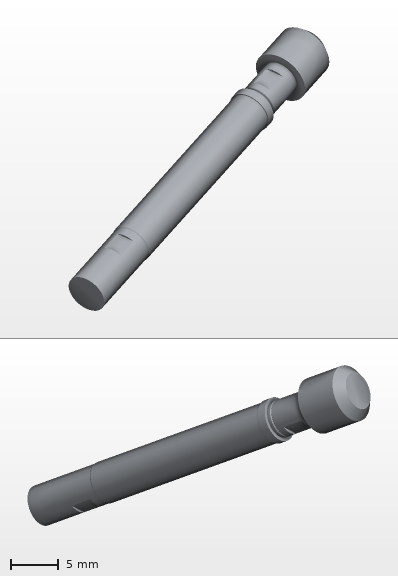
import cadquery as cq

length = 43.2

head_diameter = 6.1
neck_diameter = 4.0
notch_diameter = 3.8
collar_diameter = 4.8
barrel_diameter = 4.55
tail_diameter = 4.4

head_end = 5.65
neck_end = 10.1
collar_start = 10.7
collar_end = 11.65
barrel_end = 34.7

tip_chamfer_length = 0.95
tip_face_diameter = neck_diameter
notch_width = 0.2
barrel_taper_length = 0.15

flat_length = 2.45
neck_flat_start = 6.83
neck_flat_across = 3.45
tail_flat_start = 35.7
tail_flat_across = 3.95

tip_y = length / 2


def turned_body():
    """Revolve the stepped half profile about the Y axis."""
    stations = [
        (0, 0),
        (tip_face_diameter, 0),
        (head_diameter, tip_chamfer_length),
        (head_diameter, head_end),
        (neck_diameter, head_end),
        (neck_diameter, neck_end),
        (notch_diameter, neck_end + notch_width / 2),
        (neck_diameter, neck_end + notch_width),
        (neck_diameter, collar_start),
        (collar_diameter, collar_start),
        (collar_diameter, collar_end),
        (barrel_diameter, collar_end),
        (barrel_diameter, barrel_end - barrel_taper_length),
        (tail_diameter, barrel_end),
        (tail_diameter, length),
        (0, length),
    ]
    profile = [(diameter / 2, tip_y - distance) for diameter, distance in stations]
    return cq.Workplane("XY").polyline(profile).close().revolve(360, (0, 0, 0), (0, 1, 0))


def cut_flats(body, start, across):
    """Cut two opposite flats, leaving the given size across them in Z."""
    cutter_height = head_diameter
    center_y = tip_y - start - flat_length / 2
    for side in (1, -1):
        center_z = side * (across + cutter_height) / 2
        cutter = cq.Workplane("XY").box(head_diameter, flat_length, cutter_height)
        body = body.cut(cutter.translate((0, center_y, center_z)))
    return body


result = turned_body()
result = cut_flats(result, neck_flat_start, neck_flat_across)
result = cut_flats(result, tail_flat_start, tail_flat_across)